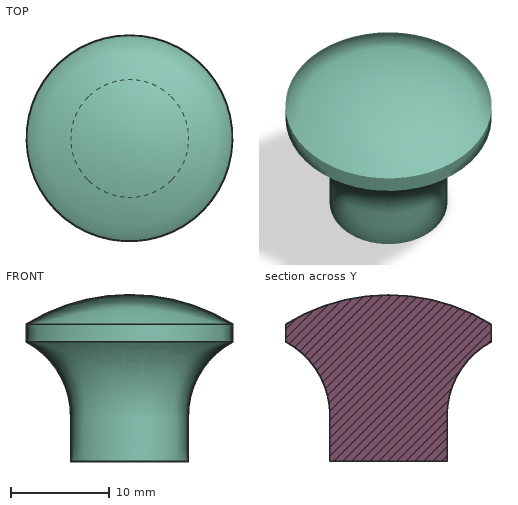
import cadquery as cq
import math

stem_diameter = 12.0
head_diameter = 21.0
total_height = 17.0
rim_height = 1.8
dome_height = 3.0
flare_radius = 8.5

stem_radius = stem_diameter / 2
head_radius = head_diameter / 2

rim_top = total_height - dome_height
rim_bottom = rim_top - rim_height
flare_center_radius = stem_radius + flare_radius
flare_rise = math.sqrt(flare_radius**2 - (flare_center_radius - head_radius) ** 2)
stem_height = rim_bottom - flare_rise

dome_radius = (head_radius**2 + dome_height**2) / (2 * dome_height)
dome_center_height = total_height - dome_radius


def arc_midpoint(center, radius, start, end):
    """Point on a circular arc halfway between two of its points (minor arc)."""
    chord_x = (start[0] + end[0]) / 2 - center[0]
    chord_z = (start[1] + end[1]) / 2 - center[1]
    scale = radius / math.hypot(chord_x, chord_z)
    return (center[0] + chord_x * scale, center[1] + chord_z * scale)


def make_knob():
    """Revolve the half profile of the knob about the Z axis."""
    stem_edge = (stem_radius, stem_height)
    rim_lower_edge = (head_radius, rim_bottom)
    rim_upper_edge = (head_radius, rim_top)
    apex = (0, total_height)
    flare_center = (flare_center_radius, stem_height)
    dome_center = (0, dome_center_height)
    flare_middle = arc_midpoint(flare_center, flare_radius, stem_edge, rim_lower_edge)
    dome_middle = arc_midpoint(dome_center, dome_radius, rim_upper_edge, apex)

    profile = (
        cq.Workplane("YZ")
        .moveTo(0, 0)
        .lineTo(stem_radius, 0)
        .lineTo(*stem_edge)
        .threePointArc(flare_middle, rim_lower_edge)
        .lineTo(*rim_upper_edge)
        .threePointArc(dome_middle, apex)
        .close()
    )
    return profile.revolve(360, (0, 0, 0), (0, 1, 0))


result = make_knob()